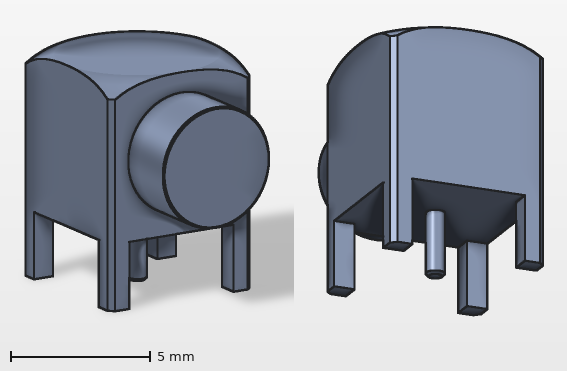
import cadquery as cq
import math

body_width = 6.0
total_height = 8.5
leg_length = 2.5
leg_width = 0.8
edge_chamfer = 0.2
body_height = total_height - leg_length

top_circle_diameter = 5.98
shoulder_radius = 2.5
shoulder_start_degrees = 14.4
shoulder_end_degrees = 60

total_length = 8.4
barrel_diameter = 4.5
barrel_depth = body_width / 2
barrel_chamfer = 0.05

pin_diameter = 0.7
pin_length = 2.41
pin_chamfer = 0.1


def make_housing():
    """Square block with chamfered upright edges and a cross cut out between the legs."""
    block = (
        cq.Workplane("XY")
        .rect(body_width, body_width)
        .extrude(-total_height)
        .edges("|Z")
        .chamfer(edge_chamfer)
    )
    gap = body_width - 2 * leg_width
    for size_x, size_y in ((gap, body_width), (body_width, gap)):
        channel = (
            cq.Workplane("XY")
            .workplane(offset=-total_height)
            .rect(size_x, size_y)
            .extrude(leg_length)
        )
        block = block.cut(channel)
    return block


def shoulder_point(slope_degrees):
    """Point (radius, z) of the shoulder arc where it slopes down by the given angle."""
    start = math.radians(shoulder_start_degrees)
    slope = math.radians(slope_degrees)
    radius = top_circle_diameter / 2 + shoulder_radius * (math.sin(slope) - math.sin(start))
    z = shoulder_radius * (math.cos(slope) - math.cos(start))
    return radius, z


def make_top_envelope():
    """Turned solid, wider than the housing corners, whose shoulder trims them at the top."""
    middle_degrees = (shoulder_start_degrees + shoulder_end_degrees) / 2
    arc_start = shoulder_point(shoulder_start_degrees)
    arc_middle = shoulder_point(middle_degrees)
    arc_end = shoulder_point(shoulder_end_degrees)
    return (
        cq.Workplane("XZ")
        .moveTo(0, 0)
        .lineTo(*arc_start)
        .threePointArc(arc_middle, arc_end)
        .lineTo(arc_end[0], -total_height)
        .lineTo(0, -total_height)
        .close()
        .revolve(360, (0, 0), (0, 1))
    )


def make_barrel():
    """Cylinder along +X, starting on the housing axis, with a small chamfer at its free end."""
    return (
        cq.Workplane("YZ")
        .center(0, -barrel_depth)
        .circle(barrel_diameter / 2)
        .extrude(total_length - body_width / 2)
        .faces(">X")
        .chamfer(barrel_chamfer)
    )


def make_pin():
    """Pin hanging from the underside of the housing, with a chamfered tip."""
    return (
        cq.Workplane("XY")
        .workplane(offset=-body_height)
        .circle(pin_diameter / 2)
        .extrude(-pin_length)
        .faces("<Z")
        .chamfer(pin_chamfer)
    )


housing = make_housing().intersect(make_top_envelope())
result = housing.union(make_barrel()).union(make_pin())